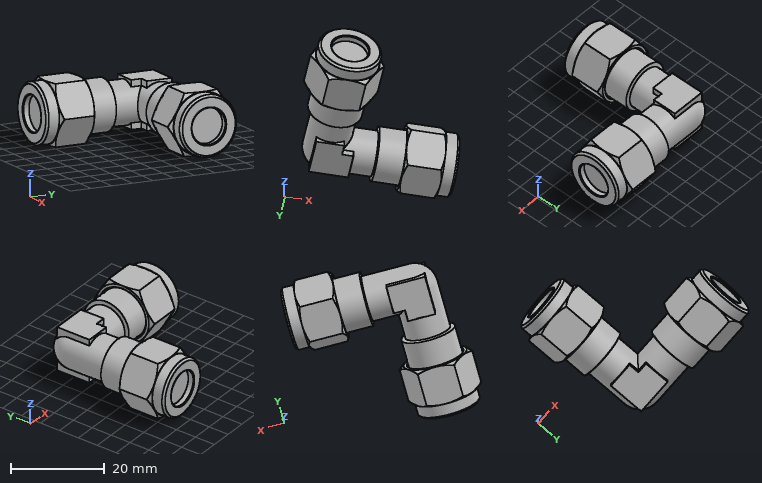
import cadquery as cq
import math

tube_radius = 5.0
arm_length = 28.0

pad_height = 11.0
pad_inset = 3.05
pad_reach = 5.55

collar_radius = 5.97
collar_start = 10.5
collar_shoulder_length = 0.2

across_flats = 14.0
hex_start = 16.5
hex_end = 25.0
hex_bevel_angle = 30.0
hex_corner_radius = across_flats / math.sqrt(3)
hex_bevel_radius = across_flats / 2
hex_bevel_length = (hex_corner_radius - hex_bevel_radius) * math.tan(math.radians(hex_bevel_angle))

countersink_radius = 6.3
countersink_depth = countersink_radius - collar_radius

end_radius = 6.9
end_chamfer = 0.5

socket_radius = 4.05
socket_depth = 1.5
socket_chamfer = 0.2


def revolve_about_x(points):
    """Solid of revolution about X from (axial position, radius) points."""
    return cq.Workplane("XY").polyline(points).close().revolve(360, (0, 0, 0), (1, 0, 0))


def make_tube_and_collar():
    return revolve_about_x([
        (0, 0),
        (0, tube_radius),
        (collar_start, tube_radius),
        (collar_start + collar_shoulder_length, collar_radius),
        (hex_end, collar_radius),
        (hex_end, 0),
    ])


def make_hex_nut():
    prism = (
        cq.Workplane("YZ", origin=(hex_start, 0, 0))
        .polygon(6, 2 * hex_corner_radius)
        .extrude(hex_end - hex_start)
    )
    bevel_envelope = revolve_about_x([
        (hex_start, 0),
        (hex_start, hex_bevel_radius),
        (hex_start + hex_bevel_length, hex_corner_radius),
        (hex_end - hex_bevel_length, hex_corner_radius),
        (hex_end, hex_bevel_radius),
        (hex_end, 0),
    ])
    return prism.intersect(bevel_envelope)


def make_nut_end():
    return revolve_about_x([
        (hex_end, 0),
        (hex_end, end_radius),
        (arm_length - end_chamfer, end_radius),
        (arm_length, end_radius - end_chamfer),
        (arm_length, 0),
    ])


def make_countersink():
    return revolve_about_x([
        (hex_start, collar_radius),
        (hex_start, countersink_radius),
        (hex_start + countersink_depth, collar_radius),
    ])


def make_socket():
    return revolve_about_x([
        (arm_length - socket_depth, 0),
        (arm_length - socket_depth, socket_radius),
        (arm_length - socket_chamfer, socket_radius),
        (arm_length, socket_radius + socket_chamfer),
        (arm_length, 0),
    ])


def make_arm():
    """Complete arm pointing along +X."""
    arm = make_tube_and_collar().union(make_hex_nut()).union(make_nut_end())
    return arm.cut(make_countersink()).cut(make_socket())


def make_wrench_pads():
    """L-shaped block through the corner; its ends stand out as flat pads."""
    outline = [
        (-pad_inset, pad_inset),
        (pad_reach, pad_inset),
        (pad_reach, -pad_inset),
        (pad_inset, -pad_inset),
        (pad_inset, -pad_reach),
        (-pad_inset, -pad_reach),
    ]
    return (
        cq.Workplane("XY", origin=(0, 0, -pad_height / 2))
        .polyline(outline)
        .close()
        .extrude(pad_height)
    )


x_arm = make_arm()
y_arm = x_arm.rotate((0, 0, 0), (0, 0, 1), -90)
corner_ball = cq.Workplane("XY").sphere(tube_radius)

result = x_arm.union(y_arm).union(corner_ball).union(make_wrench_pads())